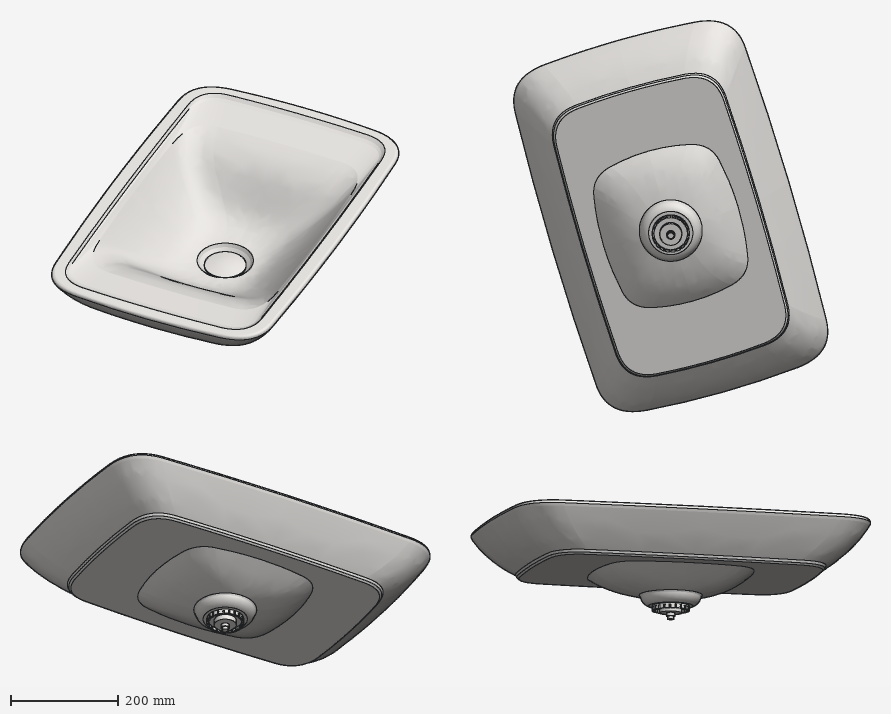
import cadquery as cq
import math


length = 699.0
width = 459.0
height = 175.0

rim_belly_z = -6.0
rim_belly = (width / 2, length / 2, 84.0, 80.0, 6.0, rim_belly_z)
skirt_middle = (205.5, 323.5, 77.0, 77.0, 5.5, -43.0)
foot_top = (171.0, 273.0, 67.0, 67.0, 4.0, -82.0)
foot_bottom_z = -90.0
underside_top = (131.0, 149.0, 54.0, 54.0, 9.0, foot_bottom_z)
underside_middle = (99.0, 118.0, 46.0, 47.5, 8.0, -111.0)
lip_top = (202.0, 325.0, 63.0, 63.0, 3.5, 0)
lip_middle = (198.0, 316.5, 59.5, 59.5, 3.5, -5.0)
ledge_start = (193.5, 307.5, 52.5, 52.5, 3.0, -7.0)
ledge_end = (186.0, 245.0, 59.5, 84.0, 3.0, -15.0)
dish_middle = (148.0, 167.0, 54.0, 45.5, 5.0, -55.0)
dish_floor = (96.0, 117.5, 46.0, 47.5, 7.0, -99.0)

rim_top_inset = 5.5
rim_round_inset = 1.5
rim_round_z = -2.0
rim_bottom_inset = 3.0
rim_bottom_z = -12.0
foot_side_inset = 2.0
foot_chamfer = 3.5
foot_side_z = foot_bottom_z + foot_chamfer

seat_radius = 52.5
seat_top_z = -116.0
seat_wall_radius = 47.5
seat_wall_z = -122.0
seat_floor_z = -133.0

boss_top_radius = 59.0
boss_top_z = -129.0
boss_neck_radius = 56.5
boss_neck_z = -133.0
boss_middle_radius = 53.0
boss_middle_z = -141.0
boss_bottom_radius = 41.0
boss_bottom_z = -149.5

tail_diameter = 41.0
tail_bottom_z = -163.0
flange_diameter = 78.0
flange_thickness = 4.0
nut_diameter = 69.0
nut_inner_tooth_diameter = 62.0
nut_thickness = 9.0
nut_plate_thickness = 3.0
tooth_count = 20
tooth_gap = 3.0
stem_diameter = 15.5
stem_shoulder_z = -169.0
tip_diameter = 12.0
cap_edge_thickness = 3.0
cap_dome_height = 5.5


def quarter_edges(section, sign_x, sign_y):
    """Half a long side, a corner and half a short side of a section, in the quadrant of the signs.

    The sides are arcs centred on the X and Y axes; the corner is a curve tangent to both.
    """
    half_x, half_y, corner_x, corner_y, bow, z = section
    flat_x = half_x - corner_x
    flat_y = half_y - corner_y
    long_radius = (flat_y**2 + bow**2) / (2 * bow)
    short_radius = (flat_x**2 + bow**2) / (2 * bow)
    long_angle = math.asin(flat_y / long_radius)
    short_angle = math.asin(flat_x / short_radius)

    def long_side(angle):
        x = half_x - long_radius * (1 - math.cos(angle))
        return cq.Vector(sign_x * x, sign_y * long_radius * math.sin(angle), z)

    def short_side(angle):
        y = half_y - short_radius * (1 - math.cos(angle))
        return cq.Vector(sign_x * short_radius * math.sin(angle), sign_y * y, z)

    corner_start = long_side(long_angle)
    corner_end = short_side(short_angle)
    start_tangent = cq.Vector(-sign_x * math.sin(long_angle), sign_y * math.cos(long_angle), 0)
    end_tangent = cq.Vector(-sign_x * math.cos(short_angle), sign_y * math.sin(short_angle), 0)
    return [
        cq.Edge.makeThreePointArc(long_side(0), long_side(long_angle / 2), corner_start),
        cq.Edge.makeSpline([corner_start, corner_end], [start_tangent, end_tangent]),
        cq.Edge.makeThreePointArc(corner_end, short_side(short_angle / 2), short_side(0)),
    ]


def outline(section):
    """Closed outline of a section, running counterclockwise from the +X axis."""
    edges = []
    for sign_x, sign_y in ((1, 1), (-1, 1), (-1, -1), (1, -1)):
        quarter = quarter_edges(section, sign_x, sign_y)
        edges += quarter if sign_x == sign_y else quarter[::-1]
    return cq.Wire.assembleEdges(edges)


def inset(section, distance, z):
    """The section moved inward by `distance` all round, at another level."""
    half_x, half_y, corner_x, corner_y, bow, _ = section
    return half_x - distance, half_y - distance, corner_x - distance / 2, corner_y - distance / 2, bow, z


def drain_circle(radius, z):
    """Circle in twelve arcs that pair up with the edges of an outline, so that lofts can end on it."""
    arc_angle = 30

    def point(degrees):
        angle = math.radians(degrees)
        return cq.Vector(radius * math.cos(angle), radius * math.sin(angle), z)

    edges = [
        cq.Edge.makeThreePointArc(point(start), point(start + arc_angle / 2), point(start + arc_angle))
        for start in range(0, 360, arc_angle)
    ]
    return cq.Wire.assembleEdges(edges)


def loft(*wires):
    return cq.Workplane(cq.Solid.makeLoft(list(wires)))


def revolve_about_z(profile):
    return profile.close().revolve(360, (0, 0, 0), (0, 1, 0))


def cylinder(diameter, bottom_z, top_z):
    return cq.Workplane().workplane(offset=bottom_z).circle(diameter / 2).extrude(top_z - bottom_z)


def make_basin_outside():
    rim_bottom = inset(rim_belly, rim_bottom_inset, rim_bottom_z)
    foot_side = inset(foot_top, foot_side_inset, foot_side_z)
    foot_bottom = inset(foot_side, foot_chamfer, foot_bottom_z)
    upper_rim = loft(
        outline(inset(rim_belly, rim_top_inset, 0)),
        outline(inset(rim_belly, rim_round_inset, rim_round_z)),
        outline(rim_belly),
    )
    lower_rim = loft(outline(rim_belly), outline(rim_bottom))
    skirt = loft(outline(rim_bottom), outline(skirt_middle), outline(foot_top))
    foot = loft(outline(foot_top), outline(foot_side))
    foot_edge = loft(outline(foot_side), outline(foot_bottom))
    underside = loft(
        outline(underside_top),
        outline(underside_middle),
        drain_circle(boss_top_radius, boss_top_z),
    )
    boss = revolve_about_z(
        cq.Workplane("XZ")
        .moveTo(0, boss_top_z)
        .lineTo(boss_top_radius, boss_top_z)
        .lineTo(boss_neck_radius, boss_neck_z)
        .threePointArc((boss_middle_radius, boss_middle_z), (boss_bottom_radius, boss_bottom_z))
        .lineTo(0, boss_bottom_z)
    )
    outside = upper_rim
    for part in (lower_rim, skirt, foot, foot_edge, underside, boss):
        outside = outside.union(part)
    return outside


def make_basin():
    lip = loft(outline(lip_top), outline(lip_middle))
    lip_foot = loft(outline(lip_middle), outline(ledge_start))
    ledge = loft(outline(ledge_start), outline(ledge_end))
    dish = loft(
        outline(ledge_end),
        outline(dish_middle),
        outline(dish_floor),
        drain_circle(seat_radius, seat_top_z),
    )
    seat = revolve_about_z(
        cq.Workplane("XZ")
        .moveTo(0, seat_top_z)
        .lineTo(seat_radius, seat_top_z)
        .lineTo(seat_wall_radius, seat_wall_z)
        .lineTo(flange_diameter / 2, seat_floor_z + flange_thickness)
        .lineTo(flange_diameter / 2, seat_floor_z)
        .lineTo(tail_diameter / 2, seat_floor_z)
        .lineTo(tail_diameter / 2, boss_bottom_z)
        .lineTo(0, boss_bottom_z)
    )
    basin = make_basin_outside()
    for hollow in (lip, lip_foot, ledge, dish, seat):
        basin = basin.cut(hollow)
    return basin


def make_tailpiece():
    flange = cylinder(flange_diameter, seat_floor_z, seat_floor_z + flange_thickness)
    tube = cylinder(tail_diameter, tail_bottom_z, seat_floor_z)
    return flange.union(tube).faces("<Z").workplane().hole(stem_diameter)


def make_lock_nut():
    nut_bottom_z = boss_bottom_z - nut_thickness
    teeth_top_z = boss_bottom_z - nut_plate_thickness
    ring = cylinder(nut_diameter, nut_bottom_z, boss_bottom_z)
    bore = cylinder(tail_diameter, nut_bottom_z, boss_bottom_z)
    hollow = cylinder(nut_inner_tooth_diameter, nut_bottom_z, teeth_top_z)
    gaps = (
        cq.Workplane().workplane(offset=nut_bottom_z)
        .polarArray(nut_diameter / 2, 0, 360, tooth_count)
        .rect(nut_diameter - nut_inner_tooth_diameter + tooth_gap, tooth_gap)
        .extrude(teeth_top_z - nut_bottom_z)
    )
    return ring.cut(bore).cut(hollow).cut(gaps)


def make_stopper():
    cap_bottom_z = seat_floor_z + flange_thickness
    cap_edge_z = cap_bottom_z + cap_edge_thickness
    cap_radius = flange_diameter / 2
    dome_radius = (cap_radius**2 + cap_dome_height**2) / (2 * cap_dome_height)
    dome_center_z = cap_edge_z + cap_dome_height - dome_radius
    half_angle = math.asin(cap_radius / dome_radius) / 2
    dome_middle = (
        dome_radius * math.sin(half_angle),
        dome_center_z + dome_radius * math.cos(half_angle),
    )
    return revolve_about_z(
        cq.Workplane("XZ")
        .moveTo(0, -height)
        .lineTo(tip_diameter / 2, -height)
        .lineTo(tip_diameter / 2, stem_shoulder_z)
        .lineTo(stem_diameter / 2, stem_shoulder_z)
        .lineTo(stem_diameter / 2, cap_bottom_z)
        .lineTo(cap_radius, cap_bottom_z)
        .lineTo(cap_radius, cap_edge_z)
        .threePointArc(dome_middle, (0, cap_edge_z + cap_dome_height))
    )


basin = make_basin()
tailpiece = make_tailpiece()
lock_nut = make_lock_nut()
stopper = make_stopper()

result = cq.Compound.makeCompound(
    [basin.solids().val(), tailpiece.solids().val(), lock_nut.solids().val(), stopper.val()]
)